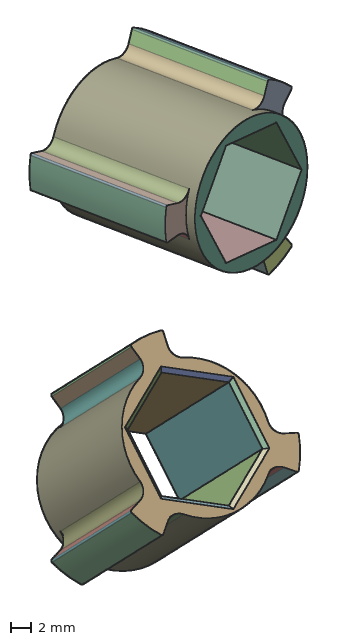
import cadquery as cq
import math

length = 19.33
body_radius = 8.25

rib_count = 3
rib_length = 18.14
rib_tip_radius = 11.3
rib_half_angle = math.radians(10.5)
first_rib_angle = 180
root_fillet = 1.5
tip_fillet = 0.2

bore_sides = 6
bore_across_flats = 12.75
mouth_chamfer = 0.47


def point_on(radius, angle):
    return (radius * math.cos(angle), radius * math.sin(angle))


def edges_at_radius(solid, radius):
    """Edges along X whose distance from the axis is the given radius."""
    tolerance = 0.002
    return solid.edges("|X").filter(
        lambda edge: abs(math.hypot(edge.Center().y, edge.Center().z) - radius) < tolerance
    )


def make_rib():
    """Wedge from the axis out to the tip arc, centred on +Y."""
    return (
        cq.Workplane("YZ")
        .lineTo(*point_on(rib_tip_radius, -rib_half_angle))
        .threePointArc((rib_tip_radius, 0), point_on(rib_tip_radius, rib_half_angle))
        .close()
        .extrude(rib_length)
    )


def make_ribbed_sleeve():
    sleeve = cq.Workplane("YZ").circle(body_radius).extrude(length)
    for index in range(rib_count):
        angle = first_rib_angle + index * 360 / rib_count
        sleeve = sleeve.union(make_rib().rotate((0, 0, 0), (1, 0, 0), angle))
    longest_root = (length + rib_length) / 2
    rib_roots = edges_at_radius(sleeve, body_radius).filter(lambda edge: edge.Length() < longest_root)
    sleeve = rib_roots.fillet(root_fillet)
    return edges_at_radius(sleeve, rib_tip_radius).fillet(tip_fillet)


def make_bore():
    """Hexagonal prism with a flared mouth at the -X end."""
    corner_diameter = bore_across_flats / math.cos(math.pi / bore_sides)
    mouth_diameter = (bore_across_flats + 2 * mouth_chamfer) / math.cos(math.pi / bore_sides)
    bore = cq.Workplane("YZ").polygon(bore_sides, corner_diameter).extrude(length)
    mouth = (
        cq.Workplane("YZ")
        .polygon(bore_sides, mouth_diameter)
        .workplane(offset=mouth_chamfer)
        .polygon(bore_sides, corner_diameter)
        .loft(ruled=True)
    )
    return bore.union(mouth)


result = make_ribbed_sleeve().cut(make_bore())